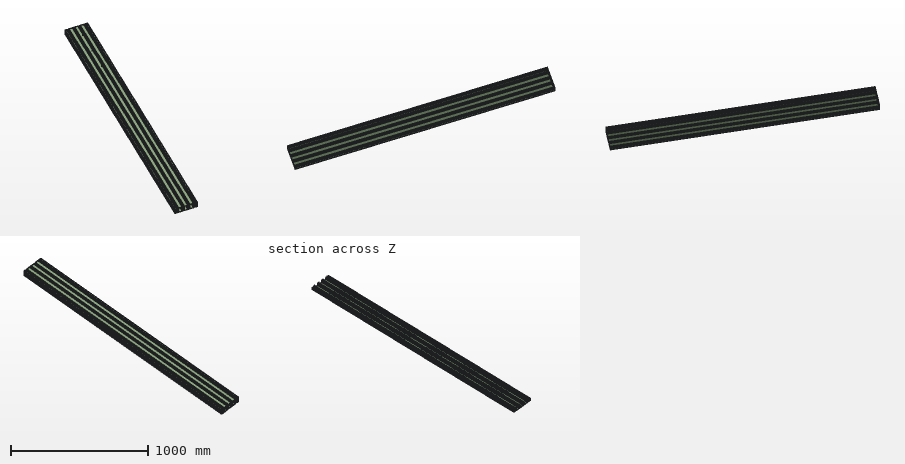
import cadquery as cq

LENGTH = 2000.0
WIDTH = 180.0
CELL_COUNT = 4
CELL = WIDTH / CELL_COUNT
HEIGHT = CELL

CORNER_RADIUS = 2.5
SKIN = 2.0
SLOT_OPENING = 8.0
BORE_DIAMETER = 7.5

CORE_HALF = 7.2
CORE_FLAT_HALF = 3.5

ARM_INNER_AT_SKIN = 4.5
ARM_OUTER_AT_SKIN = 10.0
ARM_INNER_AT_KNEE = 7.2
ARM_OUTER_AT_KNEE = 9.5
KNEE_HEIGHT = 9.5

FIRST_CELL_Y = -(WIDTH - CELL) / 2
CELL_CENTRES = [FIRST_CELL_Y + index * CELL for index in range(CELL_COUNT)]


def bar(width, height):
    """Full-length rectangular bar centred on the YZ origin."""
    return cq.Workplane("YZ").rect(width, height).extrude(LENGTH)


def turned(shape, angle):
    """Shape turned about the X axis."""
    return shape.rotate((0, 0, 0), (1, 0, 0), angle)


def moved(shape, y):
    return shape.translate((0, y, 0))


def make_shell():
    outside = bar(WIDTH, HEIGHT).edges("|X").fillet(CORNER_RADIUS)
    return outside.cut(bar(WIDTH - 2 * SKIN, HEIGHT - 2 * SKIN))


def make_arm_pair():
    """The two arms that flank an upward-facing slot; their tops end inside the skin."""
    skin_middle = (HEIGHT - SKIN) / 2
    outline = [
        (CORE_FLAT_HALF / 2, CORE_HALF / 2),
        (CORE_FLAT_HALF, CORE_HALF),
        (ARM_INNER_AT_KNEE, KNEE_HEIGHT),
        (ARM_INNER_AT_SKIN, skin_middle),
        (ARM_OUTER_AT_SKIN, skin_middle),
        (ARM_OUTER_AT_KNEE, KNEE_HEIGHT),
        (CORE_HALF, CORE_FLAT_HALF),
        (CORE_HALF / 2, CORE_FLAT_HALF / 2),
    ]
    arm = cq.Workplane("YZ").polyline(outline).close().extrude(LENGTH)
    return arm.union(arm.mirror("XZ"))


def slot_directions(index):
    """Turn angles of the slots of a cell: top and bottom, plus the side for an end cell."""
    angles = [0, 180]
    if index == 0:
        angles.append(90)
    if index == CELL_COUNT - 1:
        angles.append(-90)
    return angles


core = bar(2 * CORE_HALF, 2 * CORE_HALF)
arm_pair = make_arm_pair()
slot_gap = bar(SLOT_OPENING, 2 * SKIN).translate((0, 0, HEIGHT / 2))
bore = cq.Workplane("YZ").circle(BORE_DIAMETER / 2).extrude(LENGTH)

body = make_shell()
for index, y in enumerate(CELL_CENTRES):
    cell = core
    for angle in slot_directions(index):
        cell = cell.union(turned(arm_pair, angle))
    body = body.union(moved(cell, y))

for index, y in enumerate(CELL_CENTRES):
    for angle in slot_directions(index):
        body = body.cut(moved(turned(slot_gap, angle), y))
    body = body.cut(moved(bore, y))

result = body